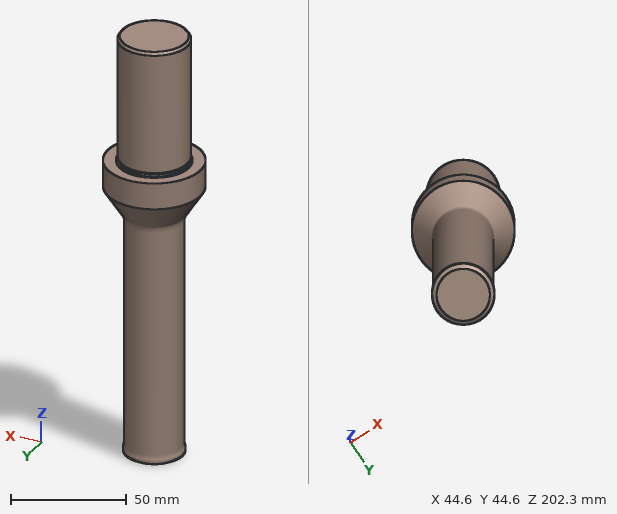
import cadquery as cq
import math

total_height = 202.3
collar_top = 142.0
collar_bottom = 129.5
neck_blend_top = 116.0
neck_blend_bottom = 113.5
flare_top = 4.9
rim_top = 2.6

shank_radius = 16.0
collar_radius = 22.3
stem_radius = 13.2
neck_blend_radius = 13.5
rim_radius = 13.5

shank_chamfer_height = 1.5
shank_chamfer_width = 1.0
rim_chamfer_height = 1.2
rim_chamfer_width = 2.0
relief_height = 1.8
relief_depth = 1.2
face_groove_width = 0.6
face_groove_depth = 0.6


def revolve_profile(profile):
    """Turn a closed half-profile (radius, height) about the Z axis."""
    return profile.close().revolve(360, (0, 0, 0), (0, 1, 0))


def make_holder():
    """Cylindrical shank and collar with a turned undercut between them."""
    neck_radius = shank_radius - relief_depth
    profile = (
        cq.Workplane("XZ")
        .moveTo(0, collar_bottom)
        .lineTo(collar_radius, collar_bottom)
        .lineTo(collar_radius, collar_top)
        .lineTo(shank_radius + face_groove_width, collar_top)
        .lineTo(shank_radius, collar_top - face_groove_depth)
        .lineTo(neck_radius, collar_top - face_groove_depth)
        .lineTo(neck_radius, collar_top + relief_height - relief_depth)
        .lineTo(shank_radius, collar_top + relief_height)
        .lineTo(shank_radius, total_height - shank_chamfer_height)
        .lineTo(shank_radius - shank_chamfer_width, total_height)
        .lineTo(0, total_height)
    )
    return revolve_profile(profile)


def make_stem():
    """Long stem with a cone under the collar and a slightly flared rim."""
    flare_height = flare_top - rim_top
    flare_width = rim_radius - stem_radius
    flare_arc_radius = (flare_height**2 + flare_width**2) / (2 * flare_width)
    flare_middle = (
        stem_radius + flare_arc_radius - math.sqrt(flare_arc_radius**2 - (flare_height / 2) ** 2),
        flare_top - flare_height / 2,
    )
    profile = (
        cq.Workplane("XZ")
        .moveTo(0, 0)
        .lineTo(rim_radius - rim_chamfer_width, 0)
        .lineTo(rim_radius, rim_chamfer_height)
        .lineTo(rim_radius, rim_top)
        .threePointArc(flare_middle, (stem_radius, flare_top))
        .lineTo(stem_radius, neck_blend_bottom)
        .tangentArcPoint((neck_blend_radius, neck_blend_top), relative=False)
        .lineTo(collar_radius, collar_bottom)
        .lineTo(0, collar_bottom)
    )
    return revolve_profile(profile)


holder = make_holder()
stem = make_stem()

result = cq.Compound.makeCompound([holder.val(), stem.val()])